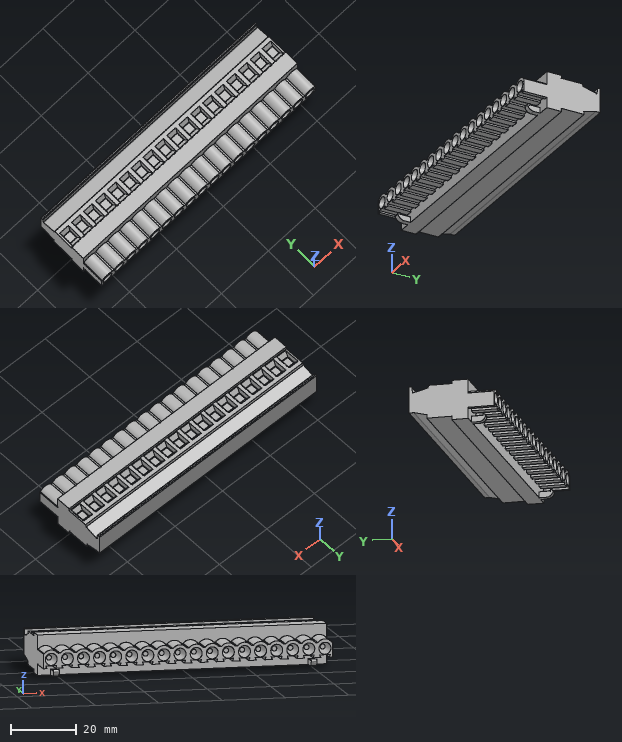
import cadquery as cq

pole_count = 18
length = 91.4
pole_pitch = 5.08

depth = 27.1
height = 12.7
band_front = 8.1
band_back = 13.35

deck_z = 11.7
deck_back = 20.8
deck_step = 0.8
deck_step_draft = 0.3
deck_ramp_end = 25.7
deck_ramp_fall = 1.3
deck_ramp_start_z = deck_z - deck_step
deck_ramp_end_z = deck_ramp_start_z - deck_ramp_fall

belly_z = 1.1
belly_back = 21.3
belly_step = 1.1
belly_ramp_end = 25.4
belly_ramp_rise = 1.0
belly_ramp_start_z = belly_z + belly_step
tail_bottom = belly_ramp_start_z + belly_ramp_rise

lip_foot_thickness = 1.2
lip_thickness = 1.0
lip_chamfer = 0.3

nose_bottom = 3.6
nose_valley_z = 8.2
barrel_top = 9.3
barrel_width = 4.5

bore_z = 6.4
bore_diameter = 3.75
bore_floor_diameter = 1.6
bore_depth = 3.2

groove_mouth_width = 2.65
groove_roof_width = 3.4
groove_height = 0.8

funnel_width = 3.7
funnel_front = 13.6
funnel_back = 19.3
throat_width = 2.7
throat_front = 15.1
throat_back = 18.1
funnel_depth = 1.4
well_depth = 0.5

hook_width = 1.8
hook_tip_y = 3.75
hook_arm_top = 1.9
hook_barb_top = 2.4
hook_barb_length = 0.8
hook_nose_length = 2.1
hook_nose_z = 1.65

pole_xs = [(i - (pole_count - 1) / 2) * pole_pitch for i in range(pole_count)]
hook_xs = [
    (pole_xs[0] + pole_xs[1]) / 2,
    (pole_xs[-2] + pole_xs[-1]) / 2,
]


def extrude_along_x(profile, width, center_x=0.0):
    """Extrude a closed YZ profile symmetrically about center_x."""
    return profile.extrude(width / 2, both=True).translate((center_x, 0, 0))


def housing():
    lip_front = depth - lip_thickness
    profile = (
        cq.Workplane("YZ")
        .moveTo(band_front, 0)
        .lineTo(band_back, 0)
        .lineTo(band_back, belly_z)
        .lineTo(belly_back, belly_z)
        .lineTo(belly_back, belly_ramp_start_z)
        .lineTo(belly_ramp_end, tail_bottom)
        .lineTo(depth, tail_bottom)
        .lineTo(depth, deck_z - lip_chamfer)
        .lineTo(depth - lip_chamfer, deck_z)
        .lineTo(lip_front + lip_chamfer, deck_z)
        .lineTo(lip_front, deck_z - lip_chamfer)
        .lineTo(depth - lip_foot_thickness, deck_ramp_end_z)
        .lineTo(deck_ramp_end, deck_ramp_end_z)
        .lineTo(deck_back + deck_step_draft, deck_ramp_start_z)
        .lineTo(deck_back, deck_z)
        .lineTo(band_back, deck_z)
        .lineTo(band_back, height)
        .lineTo(band_front, height)
        .close()
    )
    return extrude_along_x(profile, length)


def nose():
    """Slab of the nose whose top is a row of shallow arcs."""
    outline = (
        cq.Workplane("XZ")
        .moveTo(-length / 2, nose_bottom)
        .lineTo(-length / 2, nose_valley_z)
    )
    for x in pole_xs:
        outline = (
            outline.lineTo(x - barrel_width / 2, nose_valley_z)
            .threePointArc((x, barrel_top), (x + barrel_width / 2, nose_valley_z))
        )
    outline = (
        outline.lineTo(length / 2, nose_valley_z)
        .lineTo(length / 2, nose_bottom)
        .close()
    )
    return outline.extrude(-band_front)


def latch_hook(center_x):
    barb_back = hook_tip_y + hook_barb_length
    profile = (
        cq.Workplane("YZ")
        .moveTo(band_front, 0)
        .lineTo(hook_tip_y + hook_nose_length, 0)
        .tangentArcPoint((hook_tip_y, hook_nose_z), relative=False)
        .tangentArcPoint((barb_back, hook_barb_top), relative=False)
        .lineTo(barb_back, hook_arm_top)
        .lineTo(band_front, hook_arm_top)
        .close()
    )
    return extrude_along_x(profile, hook_width, center_x)


def plug_bore(x):
    return cq.Workplane(
        cq.Solid.makeCone(
            bore_diameter / 2,
            bore_floor_diameter / 2,
            bore_depth,
            pnt=cq.Vector(x, 0, bore_z),
            dir=cq.Vector(0, 1, 0),
        )
    )


def dovetail_groove(x):
    roof_z = nose_bottom + groove_height
    return (
        cq.Workplane("XZ")
        .polyline([
            (x - groove_mouth_width / 2, nose_bottom),
            (x + groove_mouth_width / 2, nose_bottom),
            (x + groove_roof_width / 2, roof_z),
            (x - groove_roof_width / 2, roof_z),
        ])
        .close()
        .extrude(-band_front)
    )


def wire_funnel(x):
    mouth_y = (funnel_front + funnel_back) / 2
    throat_y = (throat_front + throat_back) / 2
    throat_length = throat_back - throat_front
    funnel = (
        cq.Workplane("XY", origin=(x, mouth_y, deck_z))
        .rect(funnel_width, funnel_back - funnel_front)
        .workplane(offset=-funnel_depth)
        .center(0, throat_y - mouth_y)
        .rect(throat_width, throat_length)
        .loft(ruled=True)
    )
    well = (
        cq.Workplane("XY", origin=(x, throat_y, deck_z - funnel_depth))
        .rect(throat_width, throat_length)
        .extrude(-well_depth)
    )
    return funnel.union(well)


body = housing().union(nose())
for hook_x in hook_xs:
    body = body.union(latch_hook(hook_x))
for pole_x in pole_xs:
    body = body.cut(plug_bore(pole_x))
    body = body.cut(dovetail_groove(pole_x))
    body = body.cut(wire_funnel(pole_x))

result = body